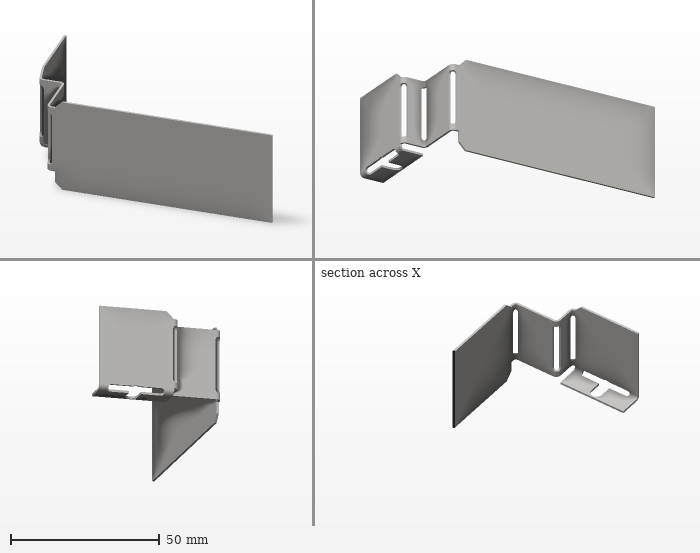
import cadquery as cq
import math

LENGTH = 88.8
DEPTH = 45.4
HEIGHT = 33.5

SHEET = 0.8
INNER_RADIUS = 1.0
OUTER_RADIUS = INNER_RADIUS + SHEET
MID_RADIUS = INNER_RADIUS + SHEET / 2

TAB_WIDTH = 26.1
TAB_START_Y = DEPTH - TAB_WIDTH
STEP_Y = TAB_START_Y - OUTER_RADIUS
RISER_X = 8.7
PLATE_START_X = 11.8
CORNER_CHAMFER = 2.6

STRIP_TOP = HEIGHT - CORNER_CHAMFER
STRIP_BOTTOM = 6.6
FLANGE_BOTTOM = 4.3
FLANGE_LENGTH = 9.1

STRIP_SLOT_MARGIN = 2.3
FLANGE_SLOT_MARGIN = 3.2
SLOT_OVERHANG = 0.3

NOTCH_WIDTH = 4.3
NOTCH_END_X = 8.5
NOTCH_RISE = 2.3
NOTCH_Y = TAB_START_Y + TAB_WIDTH / 2


def block(x_range, y_range, z_range):
    """Box between pairs of coordinates."""
    size = [high - low for low, high in (x_range, y_range, z_range)]
    corner = (x_range[0], y_range[0], z_range[0])
    return cq.Workplane("XY").box(*size, centered=False).translate(corner)


def sheet_profile():
    """Plan outline of the tab wall, step, riser and plate, with concentric bends."""
    inner, outer = INNER_RADIUS, OUTER_RADIUS
    riser_right = RISER_X + SHEET
    step_back = STEP_Y + SHEET
    return (
        cq.Workplane("XY").moveTo(0, DEPTH)
        .lineTo(0, TAB_START_Y)
        .radiusArc((outer, STEP_Y), -outer)
        .lineTo(riser_right - outer, STEP_Y)
        .radiusArc((RISER_X, STEP_Y - inner), inner)
        .lineTo(RISER_X, outer)
        .radiusArc((RISER_X + outer, 0), -outer)
        .lineTo(LENGTH, 0)
        .lineTo(LENGTH, SHEET)
        .lineTo(RISER_X + outer, SHEET)
        .radiusArc((riser_right, outer), inner)
        .lineTo(riser_right, step_back - outer)
        .radiusArc((riser_right - outer, step_back), -outer)
        .lineTo(outer, step_back)
        .radiusArc((SHEET, TAB_START_Y), inner)
        .lineTo(SHEET, DEPTH)
        .close()
    )


def tab_wall_and_flange():
    """Tab wall bent along its bottom edge into a flange, with the chamfered top corner."""
    floor = FLANGE_BOTTOM
    tab = (
        cq.Workplane("XZ", origin=(0, DEPTH, 0)).moveTo(0, HEIGHT)
        .lineTo(0, floor + OUTER_RADIUS)
        .radiusArc((OUTER_RADIUS, floor), -OUTER_RADIUS)
        .lineTo(FLANGE_LENGTH, floor)
        .lineTo(FLANGE_LENGTH, floor + SHEET)
        .lineTo(OUTER_RADIUS, floor + SHEET)
        .radiusArc((SHEET, floor + OUTER_RADIUS), INNER_RADIUS)
        .lineTo(SHEET, HEIGHT)
        .close().extrude(TAB_WIDTH)
    )
    return tab.faces(">Z").edges("<Y").chamfer(CORNER_CHAMFER)


def plate():
    """Long flat plate with chamfered corners next to the strip."""
    body = block((PLATE_START_X, LENGTH), (0, SHEET), (0, HEIGHT))
    return body.edges("|Y and <X").chamfer(CORNER_CHAMFER)


def bend_slot(length):
    """Cutter for a round-ended slot over a bend about Z, centred on the bend axis.

    The bend runs from +X to +Y. Each half is cut square to its own flat side.
    """
    mid_offset = MID_RADIUS * math.sin(math.pi / 4)
    slot_width = 2 * (mid_offset + SLOT_OVERHANG)
    reach = 2 * OUTER_RADIUS
    slot = (
        cq.Workplane("YZ").center(mid_offset, 0)
        .slot2D(length, slot_width, 90)
        .extrude(reach)
    )
    half_bend = (
        cq.Workplane("XY").workplane(offset=-length / 2)
        .polyline([(0, 0), (0, -reach), (reach, -reach), (reach, reach)]).close()
        .extrude(length)
    )
    half = slot.intersect(half_bend)
    other_half = half.mirror("XZ").rotate((0, 0, 0), (0, 0, 1), 90)
    return half.union(other_half)


def strip_bend_slots():
    """Slots over the three upright bends."""
    length = STRIP_TOP - STRIP_BOTTOM - 2 * STRIP_SLOT_MARGIN
    mid_height = (STRIP_TOP + STRIP_BOTTOM) / 2
    bends = [
        (OUTER_RADIUS, TAB_START_Y, 180),
        (RISER_X - INNER_RADIUS, STEP_Y - INNER_RADIUS, 0),
        (RISER_X + OUTER_RADIUS, OUTER_RADIUS, 180),
    ]
    cutter = bend_slot(length)
    slots = cq.Workplane("XY")
    for x, y, turn in bends:
        slots = slots.add(cutter.rotate((0, 0, 0), (0, 0, 1), turn).translate((x, y, mid_height)))
    return slots.combine()


def flange_bend_slot():
    """Slot over the bend between tab wall and flange."""
    cutter = bend_slot(TAB_WIDTH - 2 * FLANGE_SLOT_MARGIN)
    cutter = cutter.rotate((0, 0, 0), (0, 0, 1), 180).rotate((0, 0, 0), (1, 0, 0), 90)
    return cutter.translate((OUTER_RADIUS, NOTCH_Y, FLANGE_BOTTOM + OUTER_RADIUS))


def flange_notch():
    """Round-ended notch running from the flange through the bend into the tab wall."""
    radius = NOTCH_WIDTH / 2
    round_x = NOTCH_END_X - radius
    cut_depth = 2 * SHEET
    flange_cut = (
        block((SHEET, round_x), (NOTCH_Y - radius, NOTCH_Y + radius),
              (FLANGE_BOTTOM, FLANGE_BOTTOM + cut_depth))
        .union(cq.Workplane("XY", origin=(round_x, NOTCH_Y, FLANGE_BOTTOM))
               .circle(radius).extrude(cut_depth))
    )
    wall_cut = (
        cq.Workplane("YZ", origin=(0, NOTCH_Y, FLANGE_BOTTOM + NOTCH_RISE - radius))
        .circle(radius).extrude(cut_depth)
    )
    return flange_cut.union(wall_cut)


strip = (
    sheet_profile().extrude(STRIP_TOP - STRIP_BOTTOM)
    .translate((0, 0, STRIP_BOTTOM))
)
result = (
    strip.union(tab_wall_and_flange())
    .union(plate())
    .cut(strip_bend_slots())
    .cut(flange_bend_slot())
    .cut(flange_notch())
    .clean()
)